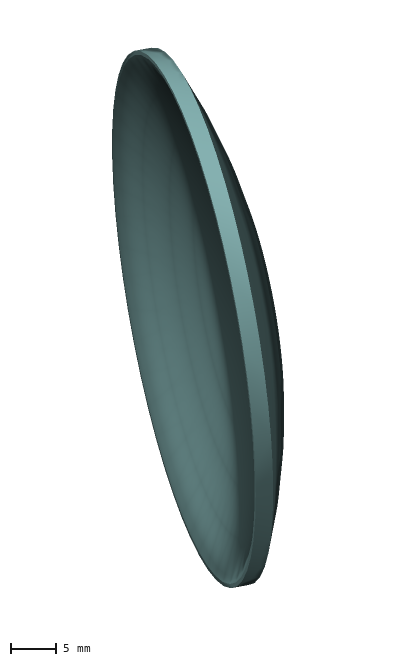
import cadquery as cq
import math

diameter = 60.3
total_height = 9.0
rim_height = 2.0
wall = 2.0

radius = diameter / 2
dome_rise = total_height - rim_height

outer_sphere_radius = (radius**2 + dome_rise**2) / (2 * dome_rise)
inner_sphere_radius = outer_sphere_radius - wall
sphere_center_y = total_height - outer_sphere_radius
inner_apex_y = total_height - wall
inner_rim_radius = math.sqrt(inner_sphere_radius**2 - sphere_center_y**2)


def point_on_sphere(sphere_radius, x):
    """Profile point of a sphere about the shared centre, at distance x from the axis."""
    return (x, sphere_center_y + math.sqrt(sphere_radius**2 - x**2))


half_section = (
    cq.Workplane("XY")
    .moveTo(0, inner_apex_y)
    .threePointArc(point_on_sphere(inner_sphere_radius, inner_rim_radius / 2), (inner_rim_radius, 0))
    .lineTo(radius, 0)
    .lineTo(radius, rim_height)
    .threePointArc(point_on_sphere(outer_sphere_radius, radius / 2), (0, total_height))
    .close()
)

result = half_section.revolve(360, (0, 0, 0), (0, 1, 0))